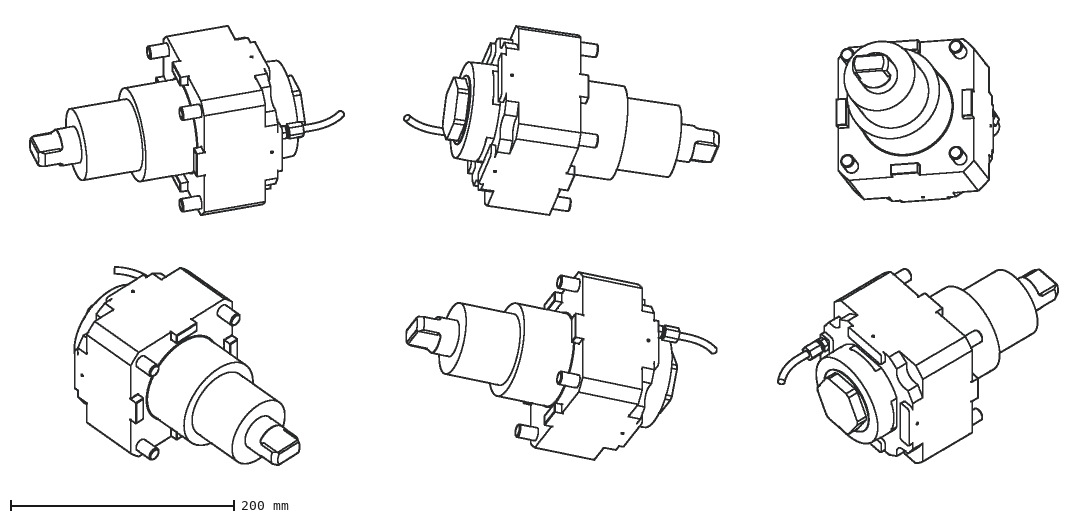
import cadquery as cq
import math


total_length = 276.0
blade_end = -140.0
cable_end = blade_end + total_length

body_size = 125.0
half_body = body_size / 2
body_corner_dia = 163.5
pocket_floor = 57.5
body_rear = 69.0

bolt_offset = 50.0
bolt_dia = 12.0
bolt_length = 18.0
bolt_chamfer = 0.97
pocket_radius = 10.0
pocket_edge = bolt_offset - pocket_radius
shoulder_start = 29.3
shoulder_end = 55.7

key_width = 24.8
key_depth = 9.5
key_height = 7.2
key_gap = 0.3
key_chamfer = 0.5
key_slot_depth = 1.0

tab_width = 47.0
tab_depth = 12.7
tab_height = 4.1
tab_fillet = 2.5

pin_hole_dia = 2.1
pin_hole_depth = 2.8
pin_hole_y = 63.5

cap_dia = 88.0
cap_rear_dia = 87.0
cap_flat_offset = 40.0
cap_flat_end = 75.5
cap_taper_start = 84.0
cap_rear = 93.8
washer_dia = 62.5
washer_rear = 94.7
nut_across_flats = 50.8
nut_corner_dia = 56.3
nut_rear = 105.0

collar_dia = 86.7
collar_length = 0.5
nose_dia = 85.0
nose_end = -48.3
barrel_dia = 65.0
barrel_end = -100.5
shaft_dia = 33.0

blade_start = -117.5
shoulder_face_dia = 32.5
blade_thickness = 15.5
blade_flat_width = 24.8
blade_root_radius = 2.5
blade_end_chamfer = 1.5
blade_edge_slope = 18.0
tip_chamfer_length = 5.5
tip_chamfer_depth = 3.0

cable_x = 56.3
cable_z = 15.2
cable_dia = 6.3
cable_bend_radius = 44.2
cable_bend_angle = 44.0
gland_nut_corner_dia = 13.5
gland_nut_start = 80.3
gland_nut_end = 93.5
gland_ring_dia = 10.0
gland_ring_start = 79.2
gland_neck_dia = 8.3
gland_base_across_flats = 11.0
gland_base_end = 77.8


def workplane_at(y):
    """XZ sketch plane at y whose extrusions run towards +Y; sketch x is -X, sketch y is Z."""
    return cq.Workplane(cq.Plane(origin=(0, y, 0), xDir=(-1, 0, 0), normal=(0, 1, 0)))


def disc(dia, y_start, y_end):
    return workplane_at(y_start).circle(dia / 2).extrude(y_end - y_start)


def block(x_range, y_range, z_range):
    sizes = [high - low for low, high in (x_range, y_range, z_range)]
    return cq.Workplane("XY").box(*sizes, centered=False).translate((x_range[0], y_range[0], z_range[0]))


def on_four_sides(shape):
    """Join copies of a shape turned by quarter turns about the Y axis."""
    joined = shape
    for turn in (90, 180, 270):
        joined = joined.union(shape.rotate((0, 0, 0), (0, 1, 0), turn))
    return joined


def hexagon_prism(across_flats, y_start, y_end, turn=0):
    corner_dia = across_flats / math.cos(math.pi / 6)
    prism = workplane_at(y_start).polygon(6, corner_dia).extrude(y_end - y_start)
    return prism.rotate((0, 0, 0), (0, 1, 0), turn)


def corner_pocket():
    """Pocket round one bolt, open to the corner, from the pocket floor to the rear face."""
    arc_middle = bolt_offset - pocket_radius * math.sqrt(0.5)
    return (
        workplane_at(pocket_floor)
        .moveTo(half_body, half_body)
        .lineTo(shoulder_start, half_body)
        .lineTo(pocket_edge, shoulder_end)
        .lineTo(pocket_edge, bolt_offset)
        .threePointArc((arc_middle, arc_middle), (bolt_offset, pocket_edge))
        .lineTo(shoulder_end, pocket_edge)
        .lineTo(half_body, shoulder_start)
        .close()
        .extrude(body_rear - pocket_floor)
    )


def key_block(gap, y_start):
    """Key-shaped block from y_start to the floor of the key slot, widened by a gap."""
    half_width = key_width / 2 + gap
    z_range = (half_body - key_depth - gap, half_body)
    return block((-half_width, half_width), (y_start, key_slot_depth), z_range)


def tab():
    half_width = tab_width / 2
    z_range = (half_body - tab_depth, half_body)
    plate = block((-half_width, half_width), (body_rear, body_rear + tab_height), z_range)
    return plate.edges("|Y").fillet(tab_fillet)


def pin_hole():
    start = cq.Workplane("XY", origin=(0, pin_hole_y, half_body - pin_hole_depth))
    return start.circle(pin_hole_dia / 2).extrude(pin_hole_depth)


def bolt():
    shank = disc(bolt_dia, -bolt_length, 0).faces("<Y").chamfer(bolt_chamfer)
    return shank.translate((bolt_offset, 0, bolt_offset))


def make_body():
    body = workplane_at(0).rect(body_size, body_size).extrude(body_rear)
    body = body.intersect(disc(body_corner_dia, 0, body_rear))
    body = body.cut(on_four_sides(corner_pocket()))
    body = body.cut(on_four_sides(key_block(key_gap, 0)))
    key = key_block(0, -key_height).faces("<Y").chamfer(key_chamfer)
    body = body.union(on_four_sides(key))
    body = body.union(on_four_sides(tab()))
    body = body.cut(on_four_sides(pin_hole()))
    return body.union(on_four_sides(bolt()))


def make_cap():
    foot_width = 2 * cap_flat_offset
    foot = workplane_at(body_rear).rect(foot_width, foot_width).extrude(cap_flat_end - body_rear)
    foot = foot.intersect(disc(cap_dia, body_rear, cap_flat_end))
    rim = disc(cap_dia, cap_flat_end, cap_taper_start)
    taper = (
        workplane_at(cap_taper_start)
        .circle(cap_dia / 2)
        .workplane(offset=cap_rear - cap_taper_start)
        .circle(cap_rear_dia / 2)
        .loft()
    )
    washer = disc(washer_dia, cap_rear, washer_rear)
    nut = hexagon_prism(nut_across_flats, washer_rear, nut_rear)
    nut = nut.intersect(disc(nut_corner_dia, washer_rear, nut_rear))
    return foot.union(rim).union(taper).union(washer).union(nut)


def blade_side_cutter():
    """Material removed above the upper flat of the blade, with a round root and an end chamfer."""
    flat_z = blade_thickness / 2
    outer_z = shaft_dia
    root_y = blade_start - blade_root_radius
    root_z = flat_z + blade_root_radius
    arc_drop = blade_root_radius * math.sqrt(0.5)
    return (
        cq.Workplane("YZ", origin=(-shaft_dia, 0, 0))
        .moveTo(blade_start, outer_z)
        .lineTo(blade_start, root_z)
        .threePointArc((root_y + arc_drop, root_z - arc_drop), (root_y, flat_z))
        .lineTo(blade_end + blade_end_chamfer, flat_z)
        .lineTo(blade_end, flat_z - blade_end_chamfer)
        .lineTo(blade_end, outer_z)
        .close()
        .extrude(2 * shaft_dia)
    )


def blade_edge_cutter():
    """Wedge that bevels one long edge of the upper flat."""
    inner_x = blade_flat_width / 2
    outer_x = shaft_dia / 2
    flat_z = blade_thickness / 2
    drop = (outer_x - inner_x) * math.tan(math.radians(blade_edge_slope))
    wedge = workplane_at(blade_end).polyline([(inner_x, flat_z), (outer_x, flat_z), (outer_x, flat_z - drop)])
    return wedge.close().extrude(blade_start - blade_root_radius - blade_end)


def make_shaft():
    shaft = disc(shaft_dia, blade_end, barrel_end)
    shaft = shaft.faces("<Y").edges().chamfer(tip_chamfer_length, tip_chamfer_depth)
    cutter = blade_side_cutter().union(blade_edge_cutter()).union(blade_edge_cutter().mirror("YZ"))
    shaft = shaft.cut(cutter).cut(cutter.mirror("XY"))
    low_corner = (-shaft_dia, blade_start - blade_root_radius / 2, -shaft_dia)
    high_corner = (shaft_dia, blade_start + blade_root_radius / 2, shaft_dia)
    shoulders = shaft.faces(cq.selectors.BoxSelector(low_corner, high_corner))
    return shoulders.edges("%CIRCLE").chamfer((shaft_dia - shoulder_face_dia) / 2)


def make_nose():
    collar = disc(collar_dia, -collar_length, 0)
    nose = disc(nose_dia, nose_end, 0)
    barrel = disc(barrel_dia, barrel_end, nose_end)
    return collar.union(nose).union(barrel).union(make_shaft())


def make_cable():
    """Cable leaving its fitting towards +Y, then bending towards -X."""
    angle = math.radians(cable_bend_angle)
    bend_start = cable_end - (cable_bend_radius + cable_dia / 2) * math.sin(angle)

    def bend_point(swept):
        x = -cable_bend_radius * (1 - math.cos(swept))
        return (x, bend_start + cable_bend_radius * math.sin(swept))

    path = (
        cq.Workplane("XY")
        .moveTo(0, gland_nut_end)
        .lineTo(0, bend_start)
        .threePointArc(bend_point(angle / 2), bend_point(angle))
    )
    cable = workplane_at(gland_nut_end).circle(cable_dia / 2).sweep(path)

    base = hexagon_prism(gland_base_across_flats, body_rear + tab_height, gland_base_end, turn=30)
    neck = disc(gland_neck_dia, gland_base_end, gland_ring_start)
    ring = disc(gland_ring_dia, gland_ring_start, gland_nut_start)
    nut = hexagon_prism(gland_nut_corner_dia * math.cos(math.pi / 6), gland_nut_start, gland_nut_end)
    fitting = base.union(neck).union(ring).union(nut)
    return fitting.union(cable).translate((cable_x, 0, cable_z))


result = make_body().union(make_cap()).union(make_nose()).union(make_cable())